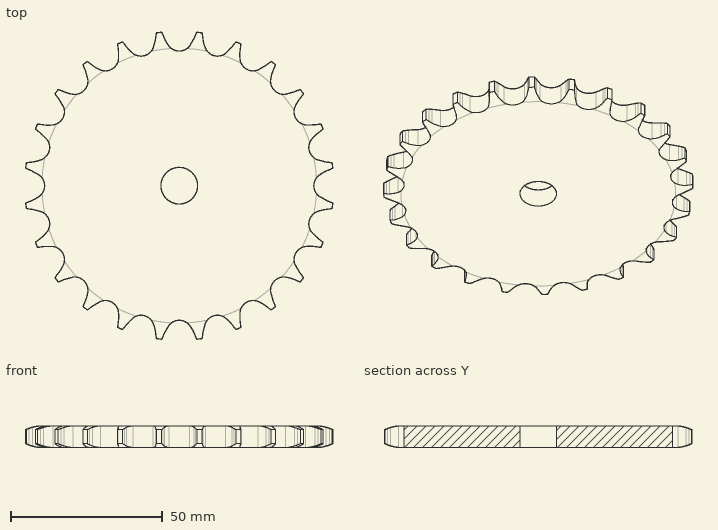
import cadquery as cq
import math


TEETH = 24
PITCH = 12.7
ROLLER_DIAMETER = 8.51
TIP_DIAMETER = 101.8
THICKNESS = 7.2
BORE_DIAMETER = 12.0

RELIEF_START_RADIUS = 45.22
RELIEF_DEPTH = 1.3

TOPPING_RUN = 2.0

PITCH_RADIUS = PITCH / (2 * math.sin(math.pi / TEETH))
TIP_RADIUS = TIP_DIAMETER / 2
SEAT_CLEARANCE = 0.038
SEAT_RADIUS = 0.5025 * ROLLER_DIAMETER + SEAT_CLEARANCE
WORKING_RADIUS = 1.3025 * ROLLER_DIAMETER + SEAT_CLEARANCE
SEAT_HALF_ANGLE = math.radians(55 - 60 / TEETH)
WORKING_ANGLE = math.radians(18 - 56 / TEETH)
TOPPING_ANGLE = math.radians(17 - 64 / TEETH)
FLANK_LINE_LENGTH = ROLLER_DIAMETER * (1.4 * math.sin(TOPPING_ANGLE) - 0.8 * math.sin(WORKING_ANGLE))
TOPPING_RADIUS = (
    ROLLER_DIAMETER * (0.8 * math.cos(WORKING_ANGLE) + 1.4 * math.cos(TOPPING_ANGLE) - 1.3025)
    - SEAT_CLEARANCE
)


def shifted(point, distance, angle):
    """Point moved by a distance; the angle is measured from -Y towards +X."""
    return (point[0] + distance * math.sin(angle), point[1] - distance * math.cos(angle))


def mirrored(point):
    """Point reflected across the centre line of the tooth space."""
    return (-point[0], point[1])


def make_blank():
    """Revolved disc whose rim curves away tangentially from both flat faces."""
    half = THICKNESS / 2
    width = TIP_RADIUS - RELIEF_START_RADIUS
    relief_radius = (width**2 + RELIEF_DEPTH**2) / (2 * RELIEF_DEPTH)
    middle_angle = math.asin(width / relief_radius) / 2
    middle_r = RELIEF_START_RADIUS + relief_radius * math.sin(middle_angle)
    middle_z = half - relief_radius * (1 - math.cos(middle_angle))
    tip_z = half - RELIEF_DEPTH
    return (
        cq.Workplane("XZ")
        .moveTo(0, -half)
        .lineTo(RELIEF_START_RADIUS, -half)
        .threePointArc((middle_r, -middle_z), (TIP_RADIUS, -tip_z))
        .lineTo(TIP_RADIUS, tip_z)
        .threePointArc((middle_r, middle_z), (RELIEF_START_RADIUS, half))
        .lineTo(0, half)
        .close()
        .revolve(360, (0, 0, 0), (0, 1, 0))
    )


def make_tooth_space():
    """Cutter for the tooth space on +Y: seat, working flank, flank line and topping curve.

    The working flank is a straight chord on the +X side and an arc on the -X side.
    """
    seat_center = (0, PITCH_RADIUS)
    bottom = shifted(seat_center, SEAT_RADIUS, 0)
    seat_middle = shifted(seat_center, SEAT_RADIUS, SEAT_HALF_ANGLE / 2)
    seat_end = shifted(seat_center, SEAT_RADIUS, SEAT_HALF_ANGLE)

    working_center = shifted(seat_end, -WORKING_RADIUS, SEAT_HALF_ANGLE)
    working_middle = shifted(working_center, WORKING_RADIUS, SEAT_HALF_ANGLE + WORKING_ANGLE / 2)
    flank_normal = SEAT_HALF_ANGLE + WORKING_ANGLE
    working_end = shifted(working_center, WORKING_RADIUS, flank_normal)

    line_end = shifted(working_end, FLANK_LINE_LENGTH, flank_normal + math.pi / 2)

    topping_center = shifted(line_end, TOPPING_RADIUS, flank_normal)
    topping_angle = TOPPING_RUN / TOPPING_RADIUS
    topping_middle = shifted(topping_center, -TOPPING_RADIUS, flank_normal - topping_angle / 2)
    topping_end = shifted(topping_center, -TOPPING_RADIUS, flank_normal - topping_angle)

    return (
        cq.Workplane("XY")
        .workplane(offset=-THICKNESS)
        .moveTo(*bottom)
        .threePointArc(seat_middle, seat_end)
        .lineTo(*working_end)
        .lineTo(*line_end)
        .threePointArc(topping_middle, topping_end)
        .lineTo(*mirrored(topping_end))
        .threePointArc(mirrored(topping_middle), mirrored(line_end))
        .lineTo(*mirrored(working_end))
        .threePointArc(mirrored(working_middle), mirrored(seat_end))
        .threePointArc(mirrored(seat_middle), bottom)
        .close()
        .extrude(2 * THICKNESS)
    )


def cut_teeth(blank):
    """Cut one tooth space per tooth, keeping the seam along the bottom of each seat."""
    space = make_tooth_space()
    part = blank
    for index in range(TEETH):
        part = part.cut(space.rotate((0, 0, 0), (0, 0, 1), index * 360 / TEETH), clean=False)
    return part


def cut_bore(part):
    """Cut the plain through bore."""
    bore = cq.Workplane("XY").workplane(offset=-THICKNESS).circle(BORE_DIAMETER / 2).extrude(2 * THICKNESS)
    return part.cut(bore, clean=False)


result = cut_bore(cut_teeth(make_blank()))